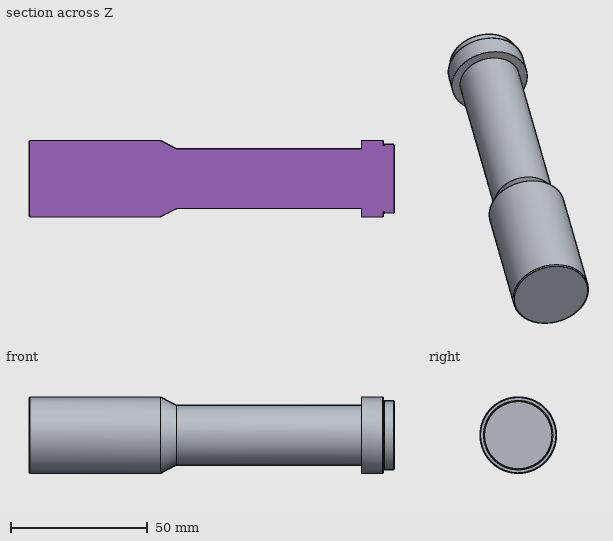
import cadquery as cq

total_length = 133.5
body_diameter = 28.0
neck_diameter = 22.0
spigot_diameter = 25.4

body_length = 48.0
taper_length = 5.7
collar_length = 8.0
spigot_length = 4.0
groove_width = 0.4
groove_depth = 0.5
end_chamfer = 0.4
collar_chamfer = 0.3

body_radius = body_diameter / 2
neck_radius = neck_diameter / 2
spigot_radius = spigot_diameter / 2
groove_radius = spigot_radius - groove_depth

taper_end = body_length + taper_length
collar_end = total_length - spigot_length
collar_start = collar_end - collar_length
groove_end = collar_end + groove_width

profile = [
    (0, 0),
    (0, body_radius - end_chamfer),
    (end_chamfer, body_radius),
    (body_length, body_radius),
    (taper_end, neck_radius),
    (collar_start, neck_radius),
    (collar_start, body_radius),
    (collar_end - collar_chamfer, body_radius),
    (collar_end, body_radius - collar_chamfer),
    (collar_end, groove_radius),
    (groove_end, groove_radius),
    (groove_end, spigot_radius),
    (total_length - end_chamfer, spigot_radius),
    (total_length, spigot_radius - end_chamfer),
    (total_length, 0),
]

result = cq.Workplane("XY").polyline(profile).close().revolve(360, (0, 0, 0), (1, 0, 0))